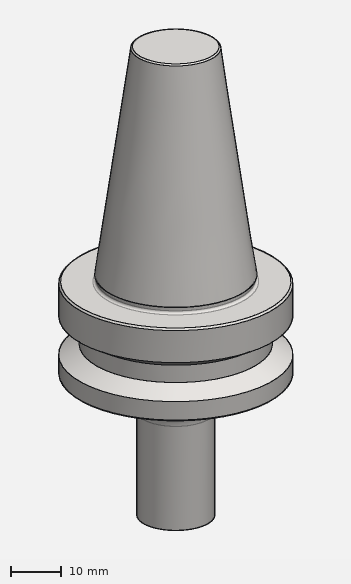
import cadquery as cq
import math

total_height = 100.4
flange_top = 50.0
flange_bottom = 30.4

gauge_diameter = 31.7
gauge_height = 2.0
taper_ratio = 7 / 24
top_chamfer = 0.3

neck_radius = 31.3 / 2
relief_top = flange_top + 1.5
relief_chamfer = 0.2
neck_fillet = 0.6

flange_radius = 46.0 / 2
groove_radius = 38.0 / 2
groove_center = 38.6
groove_floor_width = 3.7
groove_side_angle = math.radians(30)
flange_chamfer = 0.4

shank_radius = 15.4 / 2
shank_fillet = 4.9
underside_angle = math.radians(15)
rim_chamfer = 0.3


def taper_radius(height):
    """Radius of the taper at a given height."""
    drop = flange_top + gauge_height - height
    return (gauge_diameter + drop * taper_ratio) / 2


groove_side_rise = (flange_radius - groove_radius) * math.tan(groove_side_angle)
groove_floor_low = groove_center - groove_floor_width / 2
groove_floor_high = groove_center + groove_floor_width / 2

cone_outer_radius = flange_radius - rim_chamfer
cone_outer_height = flange_bottom - rim_chamfer
fillet_sweep = math.pi / 2 - underside_angle
fillet_center_radius = shank_radius + shank_fillet
cone_inner_radius = fillet_center_radius - shank_fillet * math.cos(fillet_sweep)
cone_inner_height = cone_outer_height - (cone_outer_radius - cone_inner_radius) * math.tan(underside_angle)
fillet_base = cone_inner_height - shank_fillet * math.sin(fillet_sweep)
fillet_middle = (
    fillet_center_radius - shank_fillet * math.cos(fillet_sweep / 2),
    fillet_base + shank_fillet * math.sin(fillet_sweep / 2),
)

profile = (
    cq.Workplane("XZ")
    .lineTo(shank_radius, 0)
    .lineTo(shank_radius, fillet_base)
    .threePointArc(fillet_middle, (cone_inner_radius, cone_inner_height))
    .lineTo(cone_outer_radius, cone_outer_height)
    .lineTo(flange_radius, flange_bottom)
    .lineTo(flange_radius, groove_floor_low - groove_side_rise)
    .lineTo(groove_radius, groove_floor_low)
    .lineTo(groove_radius, groove_floor_high)
    .lineTo(flange_radius, groove_floor_high + groove_side_rise)
    .lineTo(flange_radius, flange_top - flange_chamfer)
    .lineTo(flange_radius - flange_chamfer, flange_top)
    .lineTo(neck_radius + neck_fillet, flange_top)
    .radiusArc((neck_radius, flange_top + neck_fillet), neck_fillet)
    .lineTo(neck_radius, relief_top - relief_chamfer)
    .lineTo(taper_radius(relief_top), relief_top)
    .lineTo(taper_radius(total_height - top_chamfer), total_height - top_chamfer)
    .lineTo(taper_radius(total_height) - top_chamfer, total_height)
    .lineTo(0, total_height)
    .close()
)

result = profile.revolve(360, (0, 0), (0, 1))